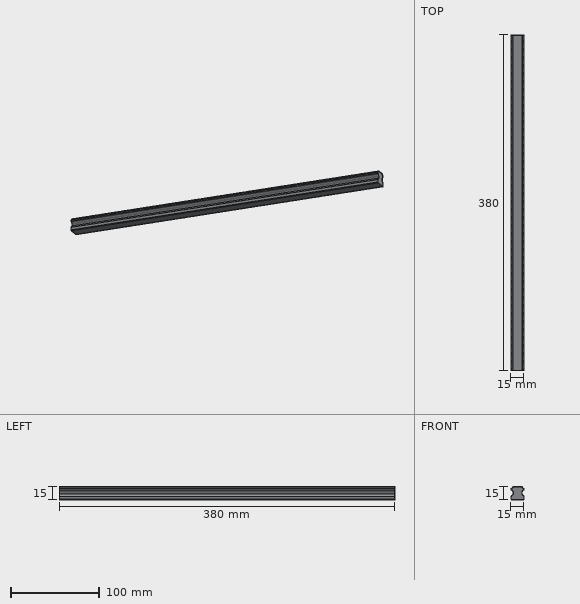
import cadquery as cq

rail_length = 380.0
rail_width = 15.0
rail_height = 15.0

foot_chamfer = 0.8
foot_edge_top = 3.9
waist_width = 10.0
waist_bottom = 6.5
waist_top = 8.1

top_flat_width = 10.0
head_edge_top = 12.8
head_edge_bottom = 11.4
edge_bevel_width = 1.2
edge_bevel_height = 0.6
groove_lip_width = 0.3
groove_lip_height = 0.1
groove_depth = 0.3

half_width = rail_width / 2
half_waist = waist_width / 2
half_top = top_flat_width / 2
head_middle = (head_edge_top + head_edge_bottom) / 2


def mirrored_below(point):
    """Mirror a point of the head about the middle of its vertical edge."""
    return (point[0], 2 * head_middle - point[1])


def add_groove(outline, start, end):
    """Continue a counter-clockwise outline with an arc that sinks into the rail."""
    run_x = end[0] - start[0]
    run_z = end[1] - start[1]
    chord = (run_x**2 + run_z**2) ** 0.5
    deepest = (
        (start[0] + end[0]) / 2 - groove_depth * run_z / chord,
        (start[1] + end[1]) / 2 + groove_depth * run_x / chord,
    )
    return outline.threePointArc(deepest, end)


def right_half_profile():
    """The +X half of the cross-section, drawn from the bottom up."""
    outer_lip = (half_width - edge_bevel_width, head_edge_top + edge_bevel_height)
    inner_lip = (half_top + groove_lip_width, rail_height - groove_lip_height)
    lower_inner_lip = mirrored_below(inner_lip)
    lower_outer_lip = mirrored_below(outer_lip)

    outline = (
        cq.Workplane("XZ")
        .lineTo(half_width - foot_chamfer, 0)
        .lineTo(half_width, foot_chamfer)
        .lineTo(half_width, foot_edge_top)
        .lineTo(half_waist, waist_bottom)
        .lineTo(half_waist, waist_top)
        .lineTo(*lower_inner_lip)
    )
    outline = add_groove(outline, lower_inner_lip, lower_outer_lip)
    outline = outline.lineTo(half_width, head_edge_bottom)
    outline = outline.lineTo(half_width, head_edge_top)
    outline = outline.lineTo(*outer_lip)
    outline = add_groove(outline, outer_lip, inner_lip)
    return outline.lineTo(half_top, rail_height).lineTo(0, rail_height)


def make_rail():
    """Mirror the half profile and extrude it along Y, centred on the origin."""
    return right_half_profile().mirrorY().extrude(rail_length / 2, both=True)


result = make_rail()